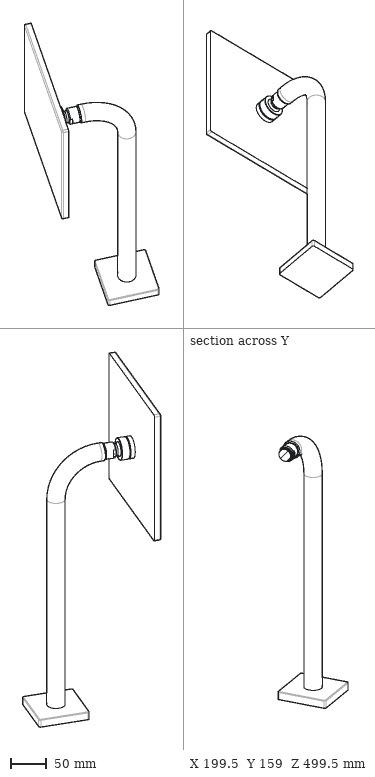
import cadquery as cq

total_height = 499.5
panel_size = 199.5
panel_thickness = 10.0
panel_corner_radius = 2.5
panel_front_radius = 2.0
arm_height = total_height - panel_size / 2
total_depth = 159.0

base_size = 74.5
base_thickness = 12.0
base_corner_radius = 2.5
base_top_radius = 1.0

panel_front_reach = total_depth - base_size / 2
panel_back_reach = panel_front_reach - panel_thickness

tube_diameter = 26.0
bend_radius = 63.5
tube_end_reach = 69.0

spigot_diameter = 21.0
collar_diameter = 23.0
collar_start_reach = 71.0
collar_end_reach = 84.5
collar_tip_diameter = 20.0
collar_tip_reach = 86.0
flat_start_reach = 81.5
flat_width = 20.5
neck_diameter = 17.0
neck_end_reach = 89.0
flare_diameter = 21.0
socket_start_reach = 92.5
socket_diameter = 32.0
socket_chamfer = 0.5
groove_start_reach = 104.0
groove_width = 1.5
groove_diameter = 31.5


def make_base():
    plate = cq.Workplane("XY").box(base_size, base_size, base_thickness, centered=(True, True, False))
    return plate.edges("|Z").fillet(base_corner_radius).faces(">Z").edges().fillet(base_top_radius)


def make_tube():
    """Upright post, quarter bend and short straight end as one swept tube."""
    path = (
        cq.Workplane("YZ")
        .lineTo(0, arm_height - bend_radius)
        .radiusArc((-bend_radius, arm_height), -bend_radius)
        .lineTo(-tube_end_reach, arm_height)
    )
    return cq.Workplane("XY").circle(tube_diameter / 2).sweep(path)


def make_collar_flats():
    """Material removed beside the two flats at the collar tip."""
    length = collar_tip_reach - flat_start_reach
    middle = -(flat_start_reach + collar_tip_reach) / 2
    ring = cq.Workplane("XY").box(2 * collar_diameter, length, 2 * collar_diameter)
    core = cq.Workplane("XY").box(flat_width, length, 2 * collar_diameter)
    return ring.cut(core).translate((0, middle, arm_height))


def make_joint():
    """Spigot, collar, neck and grooved socket turned about the arm axis."""
    groove_end_reach = groove_start_reach + groove_width
    profile = [
        (spigot_diameter, tube_end_reach),
        (spigot_diameter, collar_start_reach),
        (collar_diameter, collar_start_reach),
        (collar_diameter, collar_end_reach),
        (collar_tip_diameter, collar_tip_reach),
        (neck_diameter, collar_tip_reach),
        (neck_diameter, neck_end_reach),
        (flare_diameter, socket_start_reach),
        (socket_diameter - 2 * socket_chamfer, socket_start_reach),
        (socket_diameter, socket_start_reach + socket_chamfer),
        (socket_diameter, groove_start_reach),
        (groove_diameter, groove_start_reach),
        (groove_diameter, groove_end_reach),
        (socket_diameter, groove_end_reach),
        (socket_diameter, panel_back_reach),
    ]
    half_section = (
        cq.Workplane("XY")
        .moveTo(0, -tube_end_reach)
        .polyline([(diameter / 2, -reach) for diameter, reach in profile], includeCurrent=True)
        .lineTo(0, -panel_back_reach)
        .close()
    )
    turned = half_section.revolve(360, (0, 0, 0), (0, 1, 0)).translate((0, 0, arm_height))
    return turned.cut(make_collar_flats())


def make_panel():
    plate = cq.Workplane("XY").box(panel_size, panel_thickness, panel_size)
    plate = plate.edges("|Y").fillet(panel_corner_radius)
    plate = plate.faces("<Y").edges().fillet(panel_front_radius)
    return plate.translate((0, -(panel_front_reach + panel_back_reach) / 2, arm_height))


result = make_base().union(make_tube()).union(make_joint()).union(make_panel())